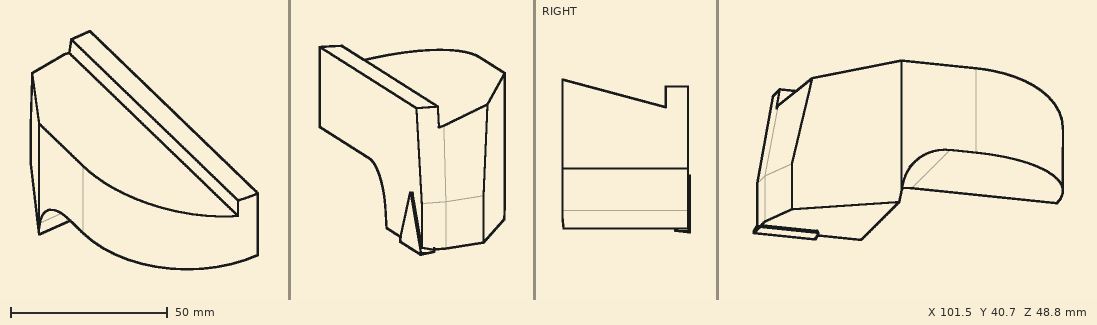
import cadquery as cq
import math


insert_length = 20.9
insert_thickness = 4.9
insert_nose_radius = 0.4
insert_clearance_angle = 7

holder_left = 1.0
holder_rear = -0.6
holder_front = -40.7
holder_right = 101.5
left_facet_end_y = -8.7
corner_x = 5.5
corner_y = -22.9
front_flat_start = 36.4
side_radius = holder_rear - holder_front
side_center_x = holder_right - side_radius

holder_bottom = 1.2
holder_top = 48.8
facet_break_z = 16.5
facet_lean_angle = 10
facet_edge_drift = 1.0
rail_top = 46.6
rail_front = -7.8
top_slope_angle = 15

relief_ceiling = 20.4
relief_radius = 16.1
relief_center_x = 52.8
relief_wall_angle = 10

margin = 10.2


def make_insert():
    """Triangular plate with rounded noses, tapering from its rear cutting face to its front."""
    nose_spacing = insert_length - 2 * insert_nose_radius
    middle_x = insert_length / 2
    nose_top_z = insert_nose_radius + nose_spacing * math.sin(math.radians(60))
    nose_centers = [
        (insert_nose_radius, insert_nose_radius),
        (insert_length - insert_nose_radius, insert_nose_radius),
        (middle_x, nose_top_z),
    ]
    outline = cq.Sketch().polygon(nose_centers + nose_centers[:1])
    rounded = outline.wires().offset(insert_nose_radius, mode="r").reset().clean()
    return (
        cq.Workplane("XZ")
        .placeSketch(rounded)
        .extrude(insert_thickness, taper=insert_clearance_angle)
    )


def make_plan_block():
    """Vertical block with the plan outline, ending in a quarter round on the right."""
    diagonal = side_radius * math.sqrt(0.5)
    return (
        cq.Workplane("XY", origin=(0, 0, holder_bottom))
        .moveTo(holder_left, holder_rear)
        .lineTo(holder_left, left_facet_end_y)
        .lineTo(corner_x, corner_y)
        .lineTo(front_flat_start, holder_front)
        .lineTo(side_center_x, holder_front)
        .threePointArc(
            (side_center_x + diagonal, holder_rear - diagonal),
            (holder_right, holder_rear),
        )
        .close()
        .extrude(holder_top - holder_bottom)
    )


def lean_outline(facet_x, facet_end_y):
    """Outline of the space right of the two left facets, given the edge where they meet."""
    facet_slope = (corner_x - holder_left) / (corner_y - left_facet_end_y)
    front_y = holder_front - margin
    right_x = holder_right + margin
    return [
        (facet_x, margin),
        (facet_x, facet_end_y),
        (facet_x + facet_slope * (front_y - facet_end_y), front_y),
        (right_x, front_y),
        (right_x, margin),
    ]


def make_lean_envelope():
    """Space right of the two left facets, which lean inward above the break line."""
    lean_height = holder_top - facet_break_z
    lean_offset = lean_height * math.tan(math.radians(facet_lean_angle))
    base_outline = lean_outline(holder_left, left_facet_end_y)
    top_outline = lean_outline(holder_left + lean_offset, left_facet_end_y - facet_edge_drift)
    lower = cq.Workplane("XY").polyline(base_outline).close().extrude(facet_break_z)
    upper = (
        cq.Workplane("XY", origin=(0, 0, facet_break_z))
        .polyline(base_outline)
        .close()
        .workplane(offset=lean_height)
        .polyline(top_outline)
        .close()
        .loft(ruled=True)
    )
    return lower.union(upper)


def make_side_envelope():
    """Side profile: a flat rail at the rear and a top face rising toward the front."""
    slope_drop = (rail_front - holder_front) * math.tan(math.radians(top_slope_angle))
    return (
        cq.Workplane("YZ")
        .polyline([
            (holder_rear, holder_bottom),
            (holder_rear, rail_top),
            (rail_front, rail_top),
            (rail_front, holder_top - slope_drop),
            (holder_front, holder_top),
            (holder_front, holder_bottom),
        ])
        .close()
        .extrude(holder_right)
    )


def make_relief():
    """Space below the right-hand part, bounded by a leaning wall that runs into an arc."""
    center_z = relief_ceiling - relief_radius
    wall_angle = math.radians(relief_wall_angle)
    arc_angle = math.radians(180 - relief_wall_angle)
    middle_angle = (arc_angle + math.radians(90)) / 2

    def arc_point(angle):
        return (
            relief_center_x + relief_radius * math.cos(angle),
            center_z + relief_radius * math.sin(angle),
        )

    arc_start = arc_point(arc_angle)
    wall_foot_x = arc_start[0] - arc_start[1] * math.tan(wall_angle)
    return (
        cq.Workplane("XZ")
        .moveTo(wall_foot_x, 0)
        .lineTo(*arc_start)
        .threePointArc(arc_point(middle_angle), (relief_center_x, relief_ceiling))
        .lineTo(holder_right + margin, relief_ceiling)
        .lineTo(holder_right + margin, 0)
        .close()
        .extrude(margin - holder_front)
    )


insert = make_insert()
holder = (
    make_plan_block()
    .intersect(make_lean_envelope())
    .intersect(make_side_envelope())
    .cut(make_relief())
    .cut(insert)
)

result = cq.Compound.makeCompound([holder.solids().val(), insert.val()])